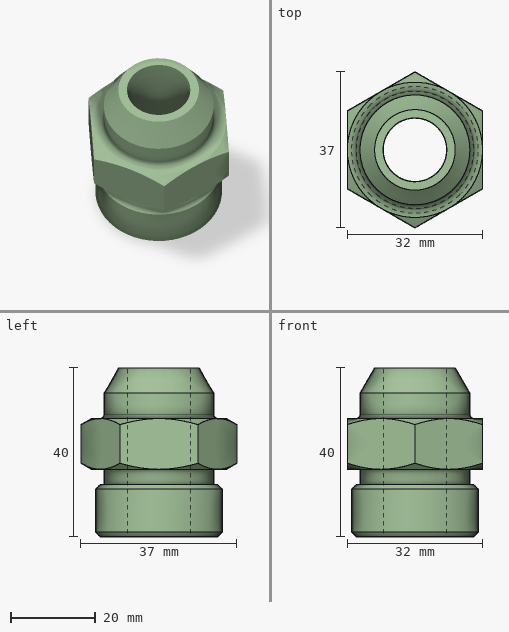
import cadquery as cq
import math

TOTAL_HEIGHT = 40
HEX_BOTTOM = 16
HEX_TOP = 28
THREAD_TOP = 12.4
CONE_BOTTOM = 34

THREAD_DIAMETER = 30
NECK_DIAMETER = 26
BORE_DIAMETER = 15.0
HEX_FLATS = 32

THREAD_CHAMFER = 1.1
NECK_FILLET = 1.0
CONE_ANGLE = 30
HEX_CHAMFER_ANGLE = 30

thread_radius = THREAD_DIAMETER / 2
neck_radius = NECK_DIAMETER / 2
cone_tip_radius = neck_radius - (TOTAL_HEIGHT - CONE_BOTTOM) * math.tan(math.radians(CONE_ANGLE))


def turned_body():
    """Threaded end, undercut, neck and weld cone as one revolved profile."""
    chamfer_radius = thread_radius - THREAD_CHAMFER
    fillet_mid = NECK_FILLET * (1 - math.sqrt(0.5))
    profile = (
        cq.Workplane("XZ")
        .moveTo(0, 0)
        .lineTo(chamfer_radius, 0)
        .lineTo(thread_radius, THREAD_CHAMFER)
        .lineTo(thread_radius, THREAD_TOP - THREAD_CHAMFER)
        .lineTo(chamfer_radius, THREAD_TOP)
        .lineTo(neck_radius, THREAD_TOP)
        .lineTo(neck_radius, HEX_TOP)
        .lineTo(neck_radius + NECK_FILLET, HEX_TOP)
        .threePointArc(
            (neck_radius + fillet_mid, HEX_TOP + fillet_mid),
            (neck_radius, HEX_TOP + NECK_FILLET),
        )
        .lineTo(neck_radius, CONE_BOTTOM)
        .lineTo(cone_tip_radius, TOTAL_HEIGHT)
        .lineTo(0, TOTAL_HEIGHT)
        .close()
    )
    return profile.revolve(360, (0, 0), (0, 1))


def hexagon():
    """Wrench hexagon, flats facing X, with its corners bevelled at both ends."""
    corner_radius = HEX_FLATS / math.sqrt(3)
    flat_radius = HEX_FLATS / 2
    bevel_height = (corner_radius - flat_radius) * math.tan(math.radians(HEX_CHAMFER_ANGLE))
    prism = (
        cq.Workplane("XY", origin=(0, 0, HEX_BOTTOM))
        .polygon(6, 2 * corner_radius)
        .extrude(HEX_TOP - HEX_BOTTOM)
        .rotate((0, 0, 0), (0, 0, 1), 30)
    )
    bevel_envelope = (
        cq.Workplane("XZ")
        .moveTo(0, HEX_BOTTOM)
        .lineTo(flat_radius, HEX_BOTTOM)
        .lineTo(corner_radius, HEX_BOTTOM + bevel_height)
        .lineTo(corner_radius, HEX_TOP - bevel_height)
        .lineTo(flat_radius, HEX_TOP)
        .lineTo(0, HEX_TOP)
        .close()
        .revolve(360, (0, 0), (0, 1))
    )
    return prism.intersect(bevel_envelope)


bore = cq.Workplane("XY").circle(BORE_DIAMETER / 2).extrude(TOTAL_HEIGHT)

result = turned_body().union(hexagon()).cut(bore)